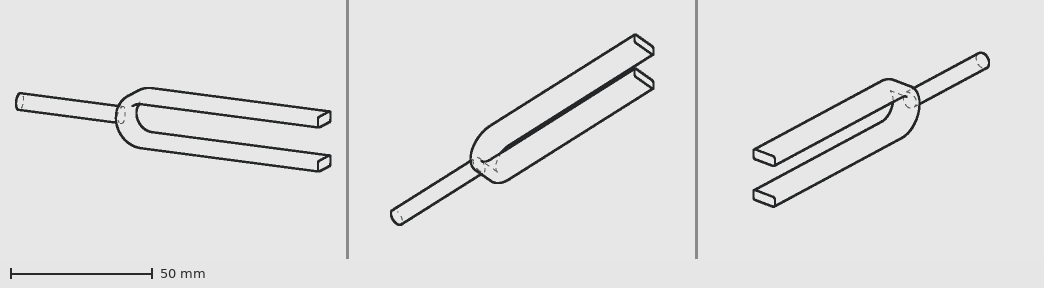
import cadquery as cq

total_length = 120.0
fork_height = 20.0
fork_width = 10.0
tine_thickness = 4.0
stem_length = 40.0
stem_diameter = 6.0
edge_round = 1.0

outer_radius = fork_height / 2
inner_radius = outer_radius - tine_thickness
bend_center_x = stem_length + outer_radius
stem_overlap = tine_thickness / 2


def make_fork():
    """U-shaped bar opening toward +X, with the long edges of its sides rounded."""
    bar = (
        cq.Workplane("XZ")
        .moveTo(total_length, outer_radius)
        .lineTo(bend_center_x, outer_radius)
        .threePointArc((stem_length, 0), (bend_center_x, -outer_radius))
        .lineTo(total_length, -outer_radius)
        .lineTo(total_length, -inner_radius)
        .lineTo(bend_center_x, -inner_radius)
        .threePointArc((bend_center_x - inner_radius, 0), (bend_center_x, inner_radius))
        .lineTo(total_length, inner_radius)
        .close()
        .extrude(fork_width / 2, both=True)
    )
    return bar.faces("<Y or >Y").edges("not(|Z)").fillet(edge_round)


def make_stem():
    """Round handle along X, sunk into the middle of the bend."""
    return cq.Workplane("YZ").circle(stem_diameter / 2).extrude(stem_length + stem_overlap)


result = make_fork().union(make_stem())